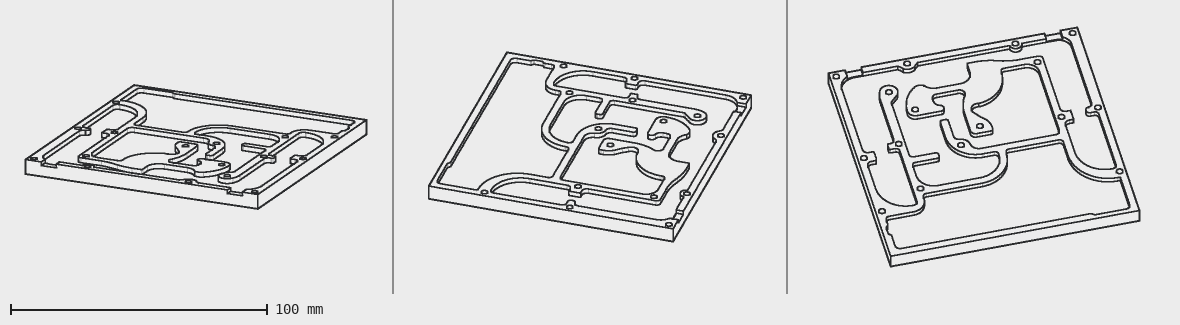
import cadquery as cq
import math

side = 100.0
thickness = 6.0
pocket_depth = 2.0

rim = 3.0
wall = 3.0
far_rim = side - rim
relief_rim = 2.0
far_relief = side - relief_rim
lower_left_rim = 4.3
upper_step = 79.3
left_wall_outer = 17.0
left_wall_inner = left_wall_outer + wall
right_wall_outer = 83.0
right_wall_inner = right_wall_outer - wall
cross_wall_bottom = 53.1
cross_wall_top = cross_wall_bottom + wall
vault_wall_bottom = 68.1
vault_wall_top = vault_wall_bottom + wall

chamber_radius = 12.0
chamber_top = 76.0
chamber_spring = chamber_top - chamber_radius
upper_sweep_radius = 16.0
upper_sweep_top = 81.0
upper_sweep_spring = upper_sweep_top - upper_sweep_radius
vault_inner_radius = 10.0
vault_outer_radius = vault_inner_radius + wall
vault_center_x = 56.0
finger_sweep_radius = 12.0
finger_center_x = 52.0

lug_top = 45.1
lug_bottom = 42.1
left_lug_side = 7.4
right_lug_side = 86.9
right_wall_lower = 83.8
left_boss_side = 13.2
left_boss_top = 46.9
right_boss_side = 92.9
right_boss_bottom = 44.6
right_boss_top = 49.4

tab_end = 68.8
tab_bottom = 51.1
finger_outer = finger_center_x + finger_sweep_radius
finger_inner = 60.8
finger_end = 34.9

chamber_floor = 14.1
island_left = 34.5
island_foot_side = 46.4
island_foot_bottom = 8.1
island_bridge_bottom = 17.9
left_horn_left = 45.0
left_horn_right = 53.7
right_horn_left = 63.9
right_horn_top = 30.2

tight_round = 0.5
small_round = 1.0
medium_round = 1.5
chamber_round = 1.9
large_round = 2.0

hole_diameter = 2.5
edge_offset = 2.5
far_edge = side - edge_offset
hole_places = [
    (edge_offset, edge_offset), (25.5, edge_offset), (69.0, edge_offset), (far_edge, edge_offset),
    (edge_offset, 43.1), (edge_offset, 78.0),
    (far_edge, 47.0), (far_edge, 76.0),
    (17.5, 44.5), (19.5, 14.1), (49.5, 41.5), (59.1, 49.5),
    (71.9, 26.9), (79.6, 15.5), (80.0, 68.0), (82.5, 43.0),
]

gap_width = 6.4
gap_depth = 1.5
gap_length = 2 * rim
gap_starts = [6.8, 86.9]


def toward(start, target, distance):
    """Point at a distance from start on the line to target."""
    length = math.dist(start, target)
    return tuple(s + (t - s) * distance / length for s, t in zip(start, target))


def outline(steps):
    """Closed wire from steps, starting at an unrounded point.

    A step (x, y, r) is a corner rounded by r; a step ("arc", (mx, my), (x, y))
    is an arc through a middle point to an unrounded point.
    """
    ends = [step[2] if step[0] == "arc" else step[:2] for step in steps]
    count = len(steps)

    path = cq.Workplane("XY").moveTo(*ends[0])
    for i in range(1, count):
        step = steps[i]
        here = ends[i]
        if step[0] == "arc":
            path = path.threePointArc(step[1], here)
            continue
        radius = step[2]
        if radius == 0:
            path = path.lineTo(*here)
            continue
        before = ends[i - 1]
        after = ends[(i + 1) % count]
        turn = math.atan2(before[1] - here[1], before[0] - here[0])
        turn -= math.atan2(after[1] - here[1], after[0] - here[0])
        half = abs(math.remainder(turn, math.tau)) / 2
        setback = radius / math.tan(half)
        first = toward(here, before, setback)
        last = toward(here, after, setback)
        mid_chord = ((first[0] + last[0]) / 2, (first[1] + last[1]) / 2)
        middle = toward(here, mid_chord, radius / math.sin(half) - radius)
        path = path.lineTo(*first).threePointArc(middle, last)
    return path.close()


def round_arc(center, radius, middle_angle, end_angle):
    """Arc step about a known center, by the angles of its middle and its end."""
    middle, end = [
        (center[0] + radius * math.cos(angle), center[1] + radius * math.sin(angle))
        for angle in (math.radians(middle_angle), math.radians(end_angle))
    ]
    return ("arc", middle, end)


upper_sweep_center = (left_wall_inner - upper_sweep_radius, upper_sweep_spring)
left_chamber_center = (left_wall_outer - chamber_radius, chamber_spring)
right_chamber_center = (far_rim - chamber_radius, chamber_spring)
vault_center = (vault_center_x, vault_wall_bottom - vault_inner_radius)
finger_center = (finger_center_x, cross_wall_top - finger_sweep_radius)

upper_pocket = [
    (upper_sweep_center[0], upper_sweep_top, 0),
    (rim, upper_sweep_top, tight_round),
    (rim, far_relief, large_round),
    (17.5, far_relief, 0.7),
    (18.7, far_rim, 0.7),
    (far_rim, far_rim, large_round),
    (far_rim, 89.3, tight_round),
    (far_relief, 88.3, tight_round),
    (far_relief, 84.8, tight_round),
    (far_rim, 83.8, tight_round),
    (far_rim, upper_step, medium_round),
    (right_wall_inner, upper_step, 5.5),
    (right_wall_inner, vault_wall_top, medium_round),
    (vault_center_x, vault_wall_top, 0),
    round_arc(vault_center, vault_outer_radius, 135, 180),
    (vault_center_x - vault_outer_radius, cross_wall_top, medium_round),
    (left_wall_inner, cross_wall_top, medium_round),
    (left_wall_inner, upper_sweep_spring, 0),
    round_arc(upper_sweep_center, upper_sweep_radius, 45, 90),
]

lower_pocket = [
    (left_chamber_center[0], chamber_top, 0),
    (rim, chamber_top, chamber_round),
    (rim, lug_top, medium_round),
    (left_lug_side, lug_top, 1.4),
    (left_lug_side, lug_bottom, 1.4),
    (lower_left_rim, lug_bottom, large_round),
    (lower_left_rim, rim, 5.0),
    (23.0, rim, 0),
    ("arc", (25.5, 5.2), (28.0, rim)),
    (64.8, rim, 0),
    ("arc", (65.8, 3.8), (66.6, 4.9)),
    ("arc", (68.9, 5.6), (71.2, 4.9)),
    ("arc", (72.0, 3.8), (73.0, rim)),
    (far_rim, rim, 6.5),
    (far_rim, right_boss_bottom, large_round),
    (right_boss_side, right_boss_bottom, 0.7),
    (right_boss_side, right_boss_top, 0.7),
    (far_rim, right_boss_top, large_round),
    (far_rim, chamber_spring, 0),
    round_arc(right_chamber_center, chamber_radius, 45, 90),
    (right_wall_outer, chamber_top, chamber_round),
    (right_wall_outer, lug_top, medium_round),
    (right_lug_side, lug_top, tight_round),
    (right_lug_side, lug_bottom, tight_round),
    (right_wall_lower, lug_bottom, large_round),
    (right_wall_lower, 17.8, 0),
    ("arc", (83.5, 15.8), (82.8, 13.9)),
    ("arc", (78.1, 12.3), (76.9, 17.8)),
    (right_wall_inner, 20.9, small_round),
    (right_wall_inner, tab_bottom, medium_round),
    (tab_end, tab_bottom, small_round),
    (tab_end, tab_bottom + wall, small_round),
    (right_wall_inner, tab_bottom + wall, medium_round),
    (right_wall_inner, vault_wall_bottom, 7.0),
    (vault_center_x, vault_wall_bottom, 0),
    round_arc(vault_center, vault_inner_radius, 135, 180),
    (vault_center_x - vault_inner_radius, cross_wall_top, medium_round),
    (finger_center_x, cross_wall_top, 0),
    round_arc(finger_center, finger_sweep_radius, 45, 0),
    (finger_outer, finger_end, small_round),
    (finger_inner, finger_end, small_round),
    (finger_inner, 44.5, 0),
    ("arc", (60.2, 45.8), (58.9, 46.4)),
    ("arc", (56.5, 47.6), (55.5, 50.0)),
    ("arc", (54.2, 52.3), (51.6, cross_wall_bottom)),
    (left_wall_inner, cross_wall_bottom, large_round),
    (left_wall_inner, chamber_floor, 5.0),
    (island_left, chamber_floor, medium_round),
    (island_left, 16.5, 0),
    ("arc", (38.4, 25.8), (47.0, 29.8)),
    ("arc", (50.2, 31.0), (49.9, 34.4)),
    (48.5, 36.4, 0),
    (46.2, 39.0, 0),
    ("arc", (45.3, 41.0), (left_horn_left, 43.0)),
    (left_horn_left, lug_top, small_round),
    (left_horn_right, lug_top, large_round),
    (left_horn_right, 33.7, 0),
    ("arc", (53.2, 29.0), (51.6, 24.8)),
    ("arc", (51.3, 22.0), (53.6, 21.0)),
    (right_horn_left, 21.0, large_round),
    (right_horn_left, 24.6, 0),
    ("arc", (63.4, 26.1), (62.0, 27.1)),
    ("arc", (60.8, 28.9), (62.2, right_horn_top)),
    (71.7, right_horn_top, 0),
    ("arc", (74.3, 29.1), (75.0, 26.5)),
    ("arc", (73.4, 20.2), (69.3, 15.4)),
    ("arc", (67.5, 14.8), (65.6, 15.3)),
    ("arc", (63.6, 17.2), (61.2, island_bridge_bottom)),
    (island_foot_side, island_bridge_bottom, 5.0),
    (island_foot_side, island_foot_bottom, 0.4),
    (42.0, island_foot_bottom, 0),
    ("arc", (38.5, 8.5), (35.0, 9.4)),
    ("arc", (31.2, 10.6), (27.5, chamber_floor - wall)),
    (left_wall_outer, chamber_floor - wall, medium_round),
    (left_wall_outer, lug_bottom, large_round),
    (left_boss_side, lug_bottom, 0),
    (left_boss_side, left_boss_top, 0),
    (left_wall_outer, left_boss_top, large_round),
    (left_wall_outer, chamber_spring, 0),
    round_arc(left_chamber_center, chamber_radius, 45, 90),
]

plate = cq.Workplane("XY").box(side, side, thickness, centered=False)
floor = thickness - pocket_depth
for pocket in (upper_pocket, lower_pocket):
    plate = plate.cut(outline(pocket).extrude(pocket_depth).translate((0, 0, floor)))

for start in gap_starts:
    gap = cq.Workplane("XY").box(gap_width, gap_length, gap_depth, centered=False)
    plate = plate.cut(gap.translate((start, 0, thickness - gap_depth)))

holes = cq.Workplane("XY").pushPoints(hole_places).circle(hole_diameter / 2).extrude(thickness)
result = plate.cut(holes)